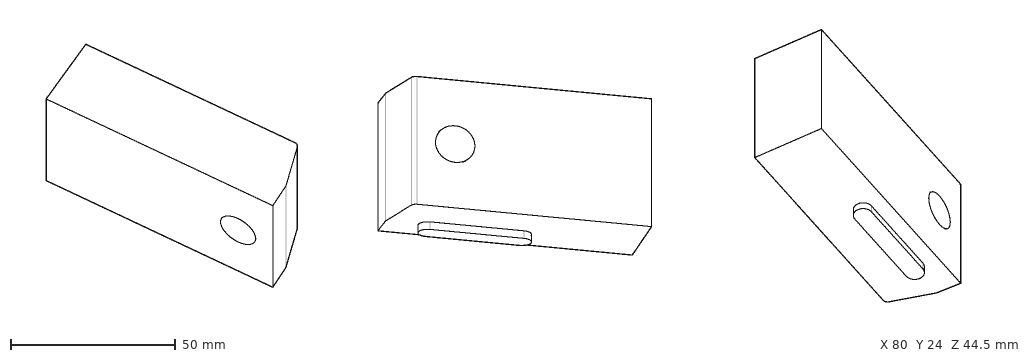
import cadquery as cq
import math

length = 80.0
depth = 24.0
height = 42.0

draft_depth = 8.5
draft_inset = 0.3
slant_angle = 17.0
back_corner_radius = 1.6

hole_diameter = 12.0
hole_x = 67.8
hole_z = 21.0
hole_lean = 14.0

key_length = 35.5
key_width = 6.0
key_height = 2.5
key_x = 51.6
key_y = 8.1


def make_block():
    slant_start = length - draft_inset
    slant_run = (depth - draft_depth) * math.tan(math.radians(slant_angle))
    outline = [
        (0, 0),
        (length, 0),
        (slant_start, draft_depth),
        (slant_start - slant_run, depth),
        (0, depth),
    ]
    block = cq.Workplane("XY").polyline(outline).close().extrude(height)
    back_corner = block.edges("|Z").edges(">Y").edges(">X")
    return back_corner.fillet(back_corner_radius)


def make_hole():
    lean = math.radians(hole_lean)
    direction = cq.Vector(-math.sin(lean), math.cos(lean), 0)
    entry = cq.Vector(hole_x, 0, hole_z)
    overrun = hole_diameter
    drill_length = depth / math.cos(lean) + 2 * overrun
    start = entry - direction * overrun
    return cq.Solid.makeCylinder(hole_diameter / 2, drill_length, start, direction)


def make_key():
    return (
        cq.Workplane("XY")
        .center(key_x, key_y)
        .slot2D(key_length, key_width)
        .extrude(-key_height)
    )


result = make_block().cut(make_hole()).union(make_key())